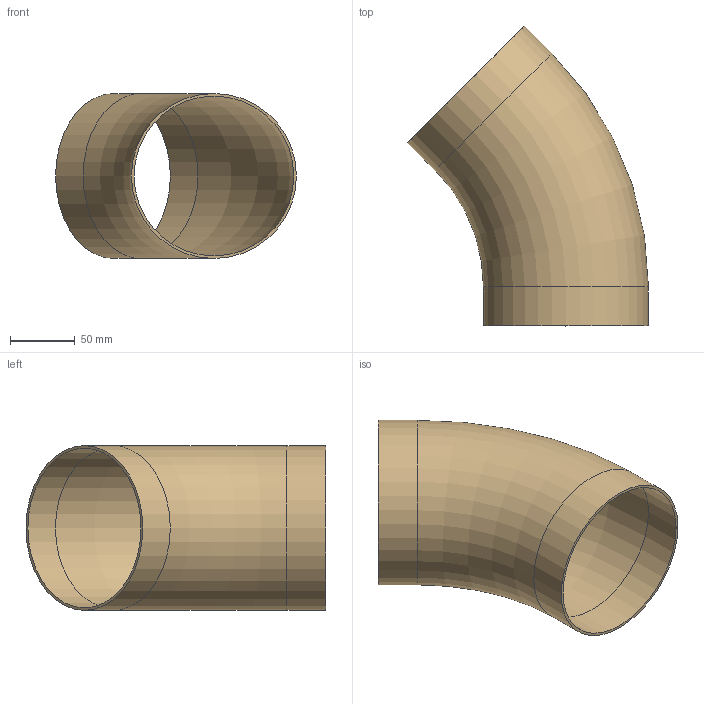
import cadquery as cq
import math

OUTER_DIAMETER = 127.0
INNER_DIAMETER = 123.0
BEND_RADIUS = 1.5 * OUTER_DIAMETER
BEND_ANGLE = 45.0
STRAIGHT_LENGTH = 30.0

bend_angle_rad = math.radians(BEND_ANGLE)
bend_end = (
    -BEND_RADIUS * (1 - math.cos(bend_angle_rad)),
    BEND_RADIUS * math.sin(bend_angle_rad),
    0,
)
inlet_direction = (0, -1, 0)
outlet_direction = (-math.sin(bend_angle_rad), math.cos(bend_angle_rad), 0)


def tube_section(origin, normal):
    """Annular tube section, centred on origin and facing along normal."""
    plane = cq.Plane(origin=origin, xDir=(0, 0, 1), normal=normal)
    return cq.Workplane(plane).circle(OUTER_DIAMETER / 2).circle(INNER_DIAMETER / 2)


def straight_tube(origin, direction):
    """Plain tube running from origin along direction."""
    return tube_section(origin, direction).extrude(STRAIGHT_LENGTH)


def bend():
    """Tube section revolved about a vertical axis on the -X side."""
    section = tube_section((0, 0, 0), inlet_direction)
    axis_start = (0, BEND_RADIUS)
    axis_end = (1, BEND_RADIUS)
    return section.revolve(BEND_ANGLE, axis_start, axis_end)


inlet = straight_tube((0, 0, 0), inlet_direction)
outlet = straight_tube(bend_end, outlet_direction)

result = bend().union(inlet).union(outlet)